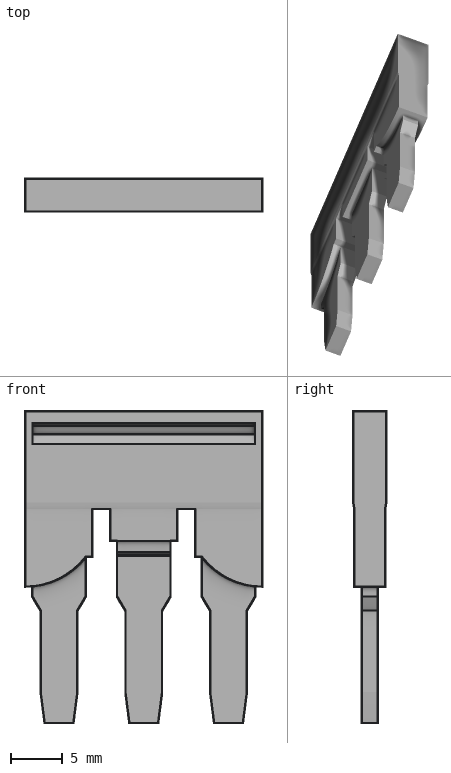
import cadquery as cq
import math


body_width = 22.9
body_thickness = 3.2
body_top = 30.12
step_top = 21.28
step_bottom = 20.66
leg_thickness = 3.0

pin_count = 3
pin_pitch = 8.18
leg_width = 6.5
middle_leg_bottom = 17.58
outer_leg_bottom = 13.16
leg_arch_top = 16.04
leg_arch_radius = 7.4

pin_thickness = 1.55
pin_shoulder_width = 5.2
pin_blade_width = 3.57
pin_tip_width = 2.8
pin_shoulder_bottom = 12.23
pin_blade_top = 10.85
pin_taper_start = 2.98

slot_width = 21.5
slot_top = 28.97
slot_wall_top = 28.7
slot_wall_bottom = 27.89
slot_ledge_front = 27.86
slot_bottom = 26.93
slot_slope_depth = 0.53
slot_depth = 1.06

groove_top = 16.52
groove_root_height = 16.29
groove_bottom = 16.15
groove_depth = 0.3

front_face = -body_thickness / 2
pin_front = -pin_thickness / 2


def extrude_along_x(points, width):
    """Prism of a (Y, Z) outline, centred on X = 0."""
    return cq.Workplane("YZ").polyline(points).close().extrude(width / 2, both=True)


def extrude_along_y(sketch, thickness):
    """Prism of an (X, Z) outline, centred on Y = 0."""
    return sketch.close().extrude(thickness / 2, both=True)


def make_body():
    """Upper block, narrowing over a short slope to the thickness of the legs."""
    half = body_thickness / 2
    half_leg = leg_thickness / 2
    outline = [
        (-half, body_top),
        (half, body_top),
        (half, step_top),
        (half_leg, step_bottom),
        (-half_leg, step_bottom),
        (-half, step_top),
    ]
    return extrude_along_x(outline, body_width)


def make_middle_leg():
    height = step_bottom - middle_leg_bottom
    base = cq.Workplane("XY").workplane(offset=middle_leg_bottom)
    return base.rect(leg_width, leg_thickness).extrude(height)


def make_left_leg():
    """Outer leg whose lower inner corner is scooped by an arc, level at the outer edge."""
    outer = -body_width / 2
    inner = outer + leg_width
    arc_center_height = outer_leg_bottom + leg_arch_radius

    def arc_x(z):
        return outer + math.sqrt(leg_arch_radius**2 - (arc_center_height - z) ** 2)

    arc_middle_height = (outer_leg_bottom + leg_arch_top) / 2
    sketch = (
        cq.Workplane("XZ")
        .moveTo(outer, step_bottom)
        .lineTo(outer, outer_leg_bottom)
        .threePointArc((arc_x(arc_middle_height), arc_middle_height), (arc_x(leg_arch_top), leg_arch_top))
        .lineTo(inner, leg_arch_top)
        .lineTo(inner, step_bottom)
    )
    return extrude_along_y(sketch, leg_thickness)


def make_pin(center):
    """Flat pin with a wide shoulder, a narrower blade and a tapered tip."""
    right_side = [
        (pin_tip_width / 2, 0),
        (pin_blade_width / 2, pin_taper_start),
        (pin_blade_width / 2, pin_blade_top),
        (pin_shoulder_width / 2, pin_shoulder_bottom),
        (pin_shoulder_width / 2, step_top),
    ]
    left_side = [(-x, z) for x, z in reversed(right_side)]
    sketch = cq.Workplane("XZ").polyline(right_side + left_side)
    return extrude_along_y(sketch, pin_thickness).translate((center, 0, 0))


def make_slot():
    """Slot with a sloped roof, an upright rear wall, a near-level ledge and a sloped lower lip."""
    outline = [
        (front_face, slot_top),
        (front_face + slot_depth, slot_wall_top),
        (front_face + slot_depth, slot_wall_bottom),
        (front_face + slot_slope_depth, slot_ledge_front),
        (front_face, slot_bottom),
    ]
    return extrude_along_x(outline, slot_width)


def make_groove():
    outline = [
        (pin_front, groove_top),
        (pin_front + groove_depth, groove_root_height),
        (pin_front, groove_bottom),
    ]
    return extrude_along_x(outline, pin_shoulder_width)


left_leg = make_left_leg()
result = make_body().union(make_middle_leg()).union(left_leg).union(left_leg.mirror("YZ"))
for index in range(pin_count):
    result = result.union(make_pin((index - (pin_count - 1) / 2) * pin_pitch))
result = result.cut(make_slot()).cut(make_groove())